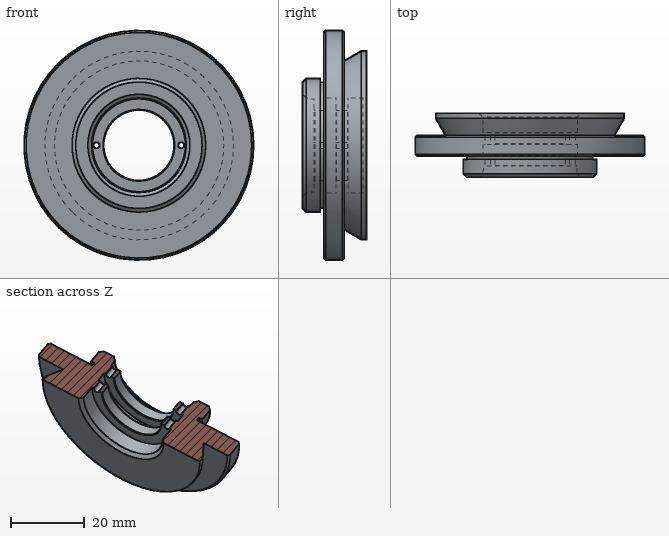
import cadquery as cq
import math

hub_end = 4.9
disc_start = 5.75
disc_end = 11.45
cone_end = 16.0
total_length = 17.45

hub_radius = 36.35 / 2
neck_radius = 34.3 / 2
disc_radius = 62.5 / 2
rim_radius = 51.3 / 2
hub_chamfer = 1.0
disc_chamfer = 0.55
cone_slope = 30
cone_root_radius = rim_radius - (cone_end - disc_end) * math.tan(math.radians(cone_slope))

bore_radius = 19.1 / 2
recess_radius = 25.75 / 2
seat_radius = 25.25 / 2
mouth_chamfer = 1.0
flange_chamfer = 0.2
flange_thickness = 3.25
front_flange_start = 3.1
rear_flange_start = 9.05

pin_hole_diameter = 1.55
pin_hole_offset = 11.5


def cylinder(radius, start, end):
    """Solid cylinder on the Y axis between two axial positions."""
    plane = cq.Plane(origin=(0, start, 0), xDir=(1, 0, 0), normal=(0, 1, 0))
    return cq.Workplane(plane).circle(radius).extrude(end - start)


def make_body():
    """Hub, neck, disc and tapered rim revolved about the Y axis."""
    outline = [
        (0, 0),
        (hub_radius - hub_chamfer, 0),
        (hub_radius, hub_chamfer),
        (hub_radius, hub_end),
        (neck_radius, hub_end),
        (neck_radius, disc_start),
        (disc_radius - disc_chamfer, disc_start),
        (disc_radius, disc_start + disc_chamfer),
        (disc_radius, disc_end - disc_chamfer),
        (disc_radius - disc_chamfer, disc_end),
        (cone_root_radius, disc_end),
        (rim_radius, cone_end),
        (rim_radius, total_length),
        (0, total_length),
    ]
    return cq.Workplane("XY").polyline(outline).close().revolve(360, (0, 0, 0), (0, 1, 0))


def make_flange(start):
    """Ring that narrows the recess to the bore, with two pin holes."""
    end = start + flange_thickness
    ring = cylinder(recess_radius, start, end).cut(cylinder(bore_radius, start, end))
    ring = ring.edges(cq.selectors.RadiusNthSelector(0)).chamfer(flange_chamfer)
    for x in (-pin_hole_offset, pin_hole_offset):
        ring = ring.cut(cylinder(pin_hole_diameter / 2, start, end).translate((x, 0, 0)))
    return ring


def make_recess():
    """Wide bore through the whole part, flared at both ends and tapered at the front."""
    outline = [
        (0, 0),
        (recess_radius + mouth_chamfer, 0),
        (recess_radius, mouth_chamfer),
        (seat_radius, front_flange_start),
        (recess_radius, front_flange_start),
        (recess_radius, total_length - mouth_chamfer),
        (recess_radius + mouth_chamfer, total_length),
        (0, total_length),
    ]
    return cq.Workplane("XY").polyline(outline).close().revolve(360, (0, 0, 0), (0, 1, 0))


result = make_body().cut(make_recess())
for flange_start in (front_flange_start, rear_flange_start):
    result = result.union(make_flange(flange_start))